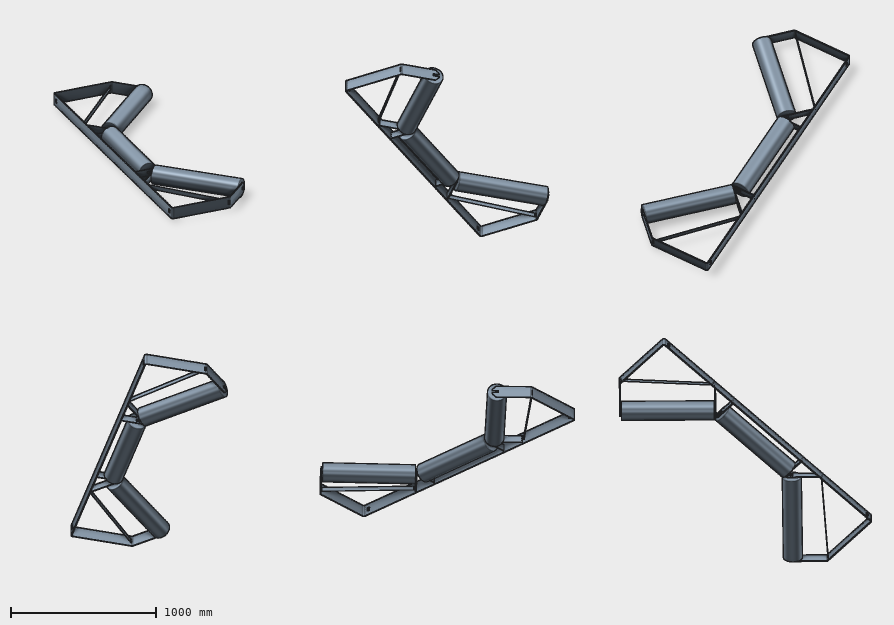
import cadquery as cq
import math

overall_width = 2000.0
strip_thickness = 8.0
frame_height = 85.0
bracket_height = 50.0
frame_rise = 5.0
bend_radius = 15.0

roller_diameter = 135.0
roller_length = 638.0
roller_edge_radius = 2.0
wing_angle = 45.0
middle_axis_y = 125.0
wing_center_x = 598.0
wing_center_y = 375.0

shaft_diameter = 20.0
shaft_flats = 15.0
roller_gap = 5.0

frame_tip_length = 35.0
frame_tip_chamfer = 28.0
mounting_hole_width = 20.0
mounting_hole_height = 25.0
mounting_hole_inset = 48.0

brace_thickness = 5.0
brace_height = 30.0
brace_wall_y = 435.0
brace_base_x = 520.0

half_width = overall_width / 2
inner_bend_radius = bend_radius - strip_thickness
seat_distance = roller_length / 2 + roller_gap
shaft_length = 2 * (seat_distance + strip_thickness)
wing_lean = math.degrees(math.atan(frame_rise / (2 * seat_distance + strip_thickness)))
wing_sin = math.sin(math.radians(wing_angle))
wing_cos = math.cos(math.radians(wing_angle))


def cylinder_along_x(diameter, length):
    """Cylinder centred on the origin."""
    return cq.Workplane("YZ", origin=(-length / 2, 0, 0)).circle(diameter / 2).extrude(length)


def plate(outline, height, middle_z):
    """Upright plate that follows an outline in X and Y."""
    base = cq.Workplane("XY", origin=(0, 0, middle_z - height / 2))
    return base.polyline(outline).close().extrude(height)


def flattened_shaft():
    flats = cq.Workplane("XY").box(shaft_length, shaft_diameter, shaft_flats)
    return cylinder_along_x(shaft_diameter, shaft_length).intersect(flats)


def shaft_slots():
    """Room for a shaft in both of its strips, open towards the ends of the strips."""
    slot_depth = roller_diameter
    slot_reach = shaft_length + 2 * bend_radius
    opening = cq.Workplane("XY").box(
        slot_reach, slot_depth, shaft_flats, centered=(True, False, True)
    )
    return flattened_shaft().union(opening)


def wing_point(along, across):
    """Point at these distances from the right wing roller's middle, along its axis and across it."""
    x = wing_center_x + along * wing_cos - across * wing_sin
    y = wing_center_y + along * wing_sin + across * wing_cos
    return (x, y)


def place_middle(body):
    return body.translate((0, middle_axis_y, 0))


def turn_to_wing(body, middle_z):
    turned = body.rotate((0, 0, 0), (0, 0, 1), wing_angle)
    return turned.translate((wing_center_x, wing_center_y, middle_z))


def place_wing(body):
    """Move a body that lies along X to the leaning axis of the right wing roller."""
    leaning = body.rotate((0, 0, 0), (0, 1, 0), -wing_lean)
    return turn_to_wing(leaning, frame_rise / 2)


def on_both_sides(body):
    return [body, body.mirror("YZ")]


def round_bend(strip, convex_corner, concave_corner):
    reach = strip_thickness / 10
    for (x, y), radius in ((convex_corner, bend_radius), (concave_corner, inner_bend_radius)):
        near_corner = cq.selectors.BoxSelector(
            (x - reach, y - reach, -frame_height),
            (x + reach, y + reach, frame_height),
        )
        strip = strip.edges("|Z").edges(near_corner).fillet(radius)
    return strip


def make_roller():
    drum = cylinder_along_x(roller_diameter, roller_length)
    drum = drum.faces("<X or >X").edges().fillet(roller_edge_radius)
    return drum.union(flattened_shaft())


def make_right_brace():
    """Flat bar from the outer face of the side wall down to the inner face of the base."""
    rise = brace_wall_y - strip_thickness
    run = half_width - brace_base_x
    length = math.hypot(rise, run)
    wall_half = brace_thickness / 2 * length / run
    base_half = brace_thickness / 2 * length / rise
    outline = [
        (half_width, brace_wall_y + wall_half),
        (half_width, brace_wall_y - wall_half),
        (brace_base_x + base_half, strip_thickness),
        (brace_base_x - base_half, strip_thickness),
    ]
    return plate(outline, brace_height, frame_rise)


def frame_tip_corners():
    """Material to take off the upper and lower corners of the right inclined end."""
    half_height = frame_height / 2
    upper_corner = (
        cq.Workplane("YZ")
        .polyline([
            (frame_tip_length - frame_tip_chamfer, half_height),
            (frame_tip_length, half_height),
            (frame_tip_length, half_height - frame_tip_chamfer),
        ])
        .close()
        .extrude(shaft_length)
    )
    both_corners = upper_corner.union(upper_corner.mirror("XY"))
    return turn_to_wing(both_corners, frame_rise)


def mounting_hole():
    hole_x = half_width - mounting_hole_inset
    start = cq.Workplane("XZ", origin=(hole_x, 0, frame_rise))
    return start.rect(mounting_hole_width, mounting_hole_height).extrude(-strip_thickness)


def make_frame():
    near_tip = wing_point(seat_distance, frame_tip_length)
    far_tip = wing_point(seat_distance + strip_thickness, frame_tip_length)
    inner_x = half_width - strip_thickness
    bend_y = far_tip[1] - (half_width - far_tip[0]) * wing_cos / wing_sin
    inner_bend_y = bend_y - strip_thickness * math.tan(math.radians(wing_angle / 2))
    base_bend = ((half_width, 0), (inner_x, strip_thickness))
    wall_bend = ((half_width, bend_y), (inner_x, inner_bend_y))
    right_half = [base_bend[0], wall_bend[0], far_tip, near_tip, wall_bend[1], base_bend[1]]
    left_half = [(-x, y) for x, y in reversed(right_half)]
    frame = plate(right_half + left_half, frame_height, frame_rise)

    for side in (1, -1):
        for convex, concave in (base_bend, wall_bend):
            frame = round_bend(frame, (side * convex[0], convex[1]), (side * concave[0], concave[1]))

    right_cuts = [
        frame_tip_corners(),
        place_wing(shaft_slots()),
        make_right_brace(),
        mounting_hole(),
    ]
    for right_cut in right_cuts:
        for cut in on_both_sides(right_cut):
            frame = frame.cut(cut)
    return frame


def make_right_bracket():
    near_x = seat_distance
    far_x = seat_distance + strip_thickness
    near_leg_x, near_leg_y = wing_point(-seat_distance, 0)
    far_leg_x, far_leg_y = wing_point(-seat_distance - strip_thickness, 0)
    leg_slope = -wing_cos / wing_sin
    convex_corner = (near_x, near_leg_y + (near_x - near_leg_x) * leg_slope)
    concave_corner = (far_x, far_leg_y + (far_x - far_leg_x) * leg_slope)
    outline = [
        (near_x, strip_thickness),
        convex_corner,
        (near_leg_x + (strip_thickness - near_leg_y) / leg_slope, strip_thickness),
        (far_leg_x + (strip_thickness - far_leg_y) / leg_slope, strip_thickness),
        concave_corner,
        (far_x, strip_thickness),
    ]
    bracket = plate(outline, bracket_height, 0)
    bracket = round_bend(bracket, convex_corner, concave_corner)
    bracket = bracket.cut(place_middle(shaft_slots()))
    return bracket.cut(place_wing(shaft_slots()))


frame = make_frame()
brackets = on_both_sides(make_right_bracket())
braces = on_both_sides(make_right_brace())
middle_roller = place_middle(make_roller())
wing_rollers = on_both_sides(place_wing(make_roller()))

bodies = [frame, *brackets, *braces, middle_roller, *wing_rollers]
result = cq.Compound.makeCompound([body.solids().val() for body in bodies])